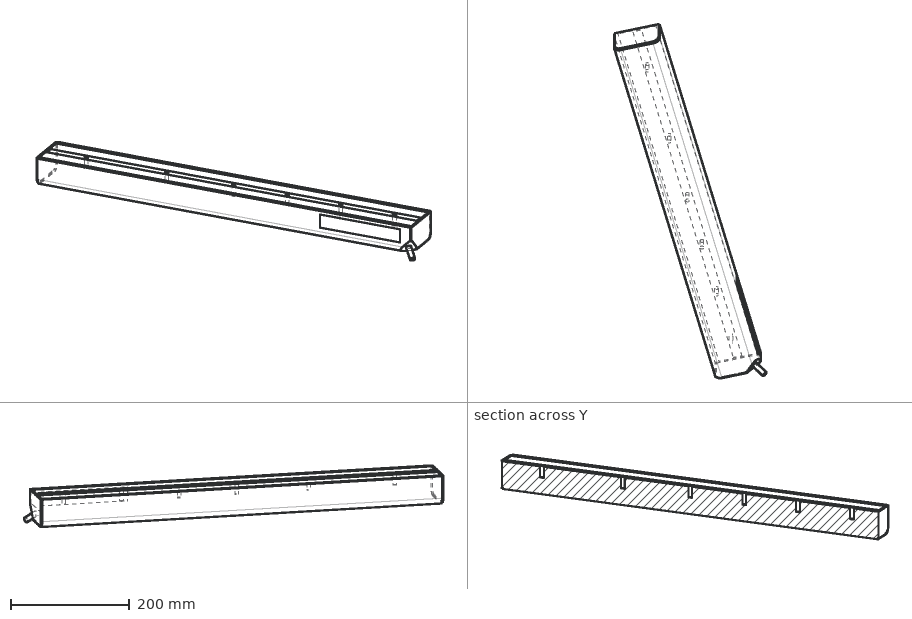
import cadquery as cq
import math

LENGTH = 700.0
WIDTH = 80.0
HEIGHT = 50.0
BOTTOM_RADIUS = 12.0
CAP_THICKNESS = 2.5
CAP_INSET = 2.2

RAIL_DEPTH = 0.2
CHANNEL_DEPTH = 2 * RAIL_DEPTH
RAIL_WIDTH = 66.0
RAIL_END_MARGIN = CAP_THICKNESS
CHANNEL_WIDTH = 15.0
CHANNEL_END_MARGIN = CAP_THICKNESS + 2.0

HOLE_DIAMETER = 6.0
HOLE_DEPTH = 20.0
HOLE_POSITIONS = [-275.0, -125.0, 0.0, 100.0, 200.0, 300.0]

LABEL_LENGTH = 150.0
LABEL_HEIGHT = 24.0
LABEL_DEPTH = 0.2
LABEL_CENTER_X = 254.5
LABEL_CENTER_Z = -18.5

FACET_DROP = 22.0
FACET_POINT = cq.Vector(LENGTH / 2, -WIDTH / 2, -FACET_DROP)
FACET_CUTTER_RADIUS = 80.0
FACET_CUTTER_DEPTH = 50.0
CABLE_DIAMETER = 9.0
CABLE_OVERHANG_X = 8.6
CABLE_OVERHANG_Y = 8.33
CABLE_OVERHANG_Z = 8.32
CABLE_EMBED = 5.0
CABLE_DIRECTION = cq.Vector(1, -1, -1).normalized()


def make_bar(length, width, height, bottom_radius):
    """Bar along X with rounded lower long edges, its top face at Z = 0."""
    bar = cq.Workplane("XY").box(length, width, height, centered=(True, True, False))
    bar = bar.translate((0, 0, -height))
    return bar.edges("|X and <Z").fillet(bottom_radius)


def make_housing():
    """Profile bar closed at both ends by caps, set in at the sides and bottom."""
    profile = make_bar(LENGTH - 2 * CAP_THICKNESS, WIDTH, HEIGHT, BOTTOM_RADIUS)
    core = make_bar(LENGTH, WIDTH - 2 * CAP_INSET, HEIGHT - CAP_INSET, BOTTOM_RADIUS - CAP_INSET)
    return profile.union(core)


def make_top_recess(width, end_margin, depth):
    """Cutter for a shallow rectangular recess centred on the top face."""
    length = LENGTH - 2 * end_margin
    cutter = cq.Workplane("XY").box(length, width, depth, centered=(True, True, False))
    return cutter.translate((0, 0, -depth))


def make_holes():
    """Cutter for the row of blind holes along the channel."""
    points = [(x, 0) for x in HOLE_POSITIONS]
    return cq.Workplane("XY").pushPoints(points).circle(HOLE_DIAMETER / 2).extrude(-HOLE_DEPTH)


def make_label_recess():
    """Cutter for the shallow label recess on the -Y side."""
    cutter = cq.Workplane("XY").box(LABEL_LENGTH, 2 * LABEL_DEPTH, LABEL_HEIGHT)
    return cutter.translate((LABEL_CENTER_X, -WIDTH / 2, LABEL_CENTER_Z))


def make_corner_cutter():
    """Disc whose near face is the slanted facet, square to the cable."""
    plane = cq.Plane(origin=FACET_POINT, normal=CABLE_DIRECTION)
    return cq.Workplane(plane).circle(FACET_CUTTER_RADIUS).extrude(FACET_CUTTER_DEPTH)


def make_cable():
    """Straight cable stub, reaching back a little way into the housing."""
    radius = CABLE_DIAMETER / 2
    rim_reach = radius * math.sqrt(2 / 3)
    tip = cq.Vector(
        LENGTH / 2 + CABLE_OVERHANG_X - rim_reach,
        -WIDTH / 2 - CABLE_OVERHANG_Y + rim_reach,
        -HEIGHT - CABLE_OVERHANG_Z + rim_reach,
    )
    stub_length = (tip - FACET_POINT).dot(CABLE_DIRECTION) + CABLE_EMBED
    plane = cq.Plane(origin=tip, normal=CABLE_DIRECTION)
    return cq.Workplane(plane).circle(radius).extrude(-stub_length)


result = make_housing()
result = result.cut(make_top_recess(RAIL_WIDTH, RAIL_END_MARGIN, RAIL_DEPTH))
result = result.cut(make_top_recess(CHANNEL_WIDTH, CHANNEL_END_MARGIN, CHANNEL_DEPTH))
result = result.cut(make_holes())
result = result.cut(make_label_recess())
result = result.cut(make_corner_cutter())
result = result.union(make_cable())